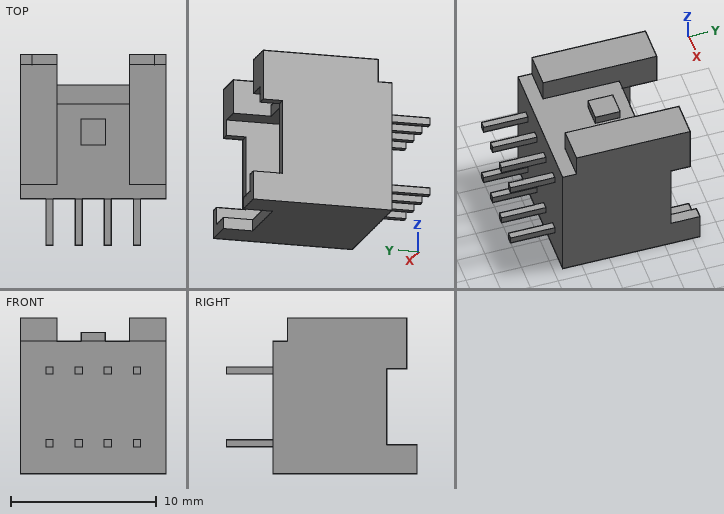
import cadquery as cq

width = 10.0
housing_depth = 9.9
block_height = 9.1
wall = 0.8
base_thickness = 2.0

overall_height = 10.7
rail_width = 2.52
rail_front = 1.0
rail_back = 9.2
gap_width = width - 2 * rail_width

side_notch_floor = 7.82
side_notch_bottom = 2.0
side_notch_top = 7.2
top_gap_floor = 6.5

key_width = 1.65
key_length = 1.8
key_height = 0.6
key_front = 3.7

overall_depth = 13.1
pin_length = overall_depth - housing_depth
pin_size = 0.5
pin_rows = 2
pin_columns = 4
pin_pitch = 2.0
lower_row_height = 2.1
row_spacing = 5.0


def block(x_size, y_range, z_range, x_center=0):
    """Box centred on x_center, spanning the given Y and Z ranges."""
    y_min, y_max = y_range
    z_min, z_max = z_range
    box = cq.Workplane("XY").box(x_size, y_max - y_min, z_max - z_min, centered=(True, False, False))
    return box.translate((x_center, y_min, z_min))


def make_outer_body():
    """Solid block with its rails and key; the upper part stops short of the lower lip."""
    body = block(width, (0, housing_depth), (0, side_notch_bottom))
    body = body.union(block(width, (0, side_notch_floor), (0, block_height)))
    body = body.union(block(width, (0, rail_back), (side_notch_top, block_height)))
    for side in (-1, 1):
        rail_center = side * (width - rail_width) / 2
        rail = block(rail_width, (rail_front, rail_back), (block_height, overall_height), rail_center)
        body = body.union(rail)
    key = block(key_width, (key_front, key_front + key_length), (block_height, block_height + key_height))
    return body.union(key)


def cut_mating_side(body):
    """Hollow the housing from +Y and open its upper and lower walls between the rails."""
    cavity = block(width - 2 * wall, (base_thickness, housing_depth), (wall, block_height - wall))
    mid_height = block_height / 2
    upper_gap = block(gap_width, (top_gap_floor, housing_depth), (mid_height, overall_height))
    lower_gap = block(gap_width, (side_notch_floor, housing_depth), (0, mid_height))
    return body.cut(cavity).cut(upper_gap).cut(lower_gap)


def add_pins(body):
    """Rows of square pins standing out of the front face."""
    for row in range(pin_rows):
        pin_bottom = lower_row_height + row * row_spacing - pin_size / 2
        for column in range(pin_columns):
            x = (column - (pin_columns - 1) / 2) * pin_pitch
            pin = block(pin_size, (-pin_length, 0), (pin_bottom, pin_bottom + pin_size), x)
            body = body.union(pin)
    return body


result = add_pins(cut_mating_side(make_outer_body()))